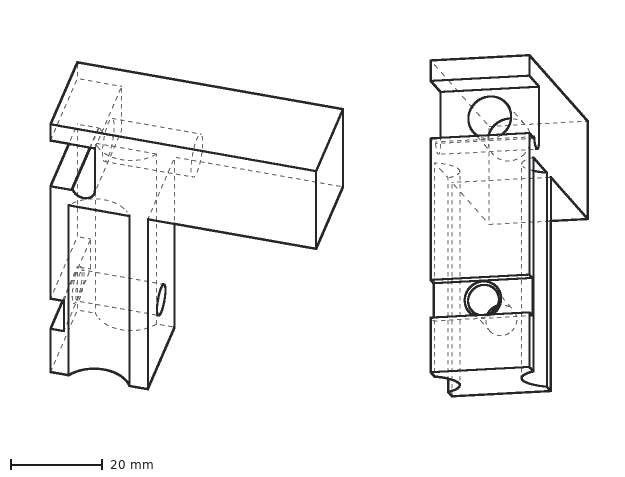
import cadquery as cq
import math

length = 60.0
height = 70.0
section = 22.0
bar_bottom = height - section

slot_depth = 10.0
slot_top = height - 4.6
ledge_z = height - 17.5
groove_radius = 2.5
groove_x = slot_depth - groove_radius
groove_z = height - 16.65
lip_start_x = 4.75
lip_rise = 0.4
lip_z = ledge_z + lip_rise
groove_angle_at_lip = math.asin((groove_z - lip_z) / groove_radius)
lip_x = groove_x - groove_radius * math.cos(groove_angle_at_lip)

bar_hole_diameter = 9.5
bar_hole_depth = 20.0
bar_hole_z = height - section / 2

notch_depth = 3.0
notch_bottom = 12.25
notch_height = 8.5
leg_hole_diameter = 6.85
leg_hole_chamfer = 0.6
leg_hole_z = notch_bottom + notch_height / 2

channel_width = 13.8
channel_depth = 3.9
channel_radius = (channel_width**2 / 4 + channel_depth**2) / (2 * channel_depth)
channel_offset = section / 2 + channel_radius - channel_depth


def make_body():
    """Extruded side outline, including the slot, groove and notch, centred on Y."""
    notch_top = notch_bottom + notch_height
    outline = (
        cq.Workplane("XZ")
        .moveTo(0, 0)
        .lineTo(section, 0)
        .lineTo(section, bar_bottom)
        .lineTo(length, bar_bottom)
        .lineTo(length, height)
        .lineTo(0, height)
        .lineTo(0, slot_top)
        .lineTo(slot_depth, slot_top)
        .lineTo(slot_depth, groove_z)
        .threePointArc((groove_x, groove_z - groove_radius), (lip_x, lip_z))
        .lineTo(lip_start_x, ledge_z)
        .lineTo(0, ledge_z)
        .lineTo(0, notch_top)
        .lineTo(notch_depth, notch_top)
        .lineTo(notch_depth, notch_bottom)
        .lineTo(0, notch_bottom)
        .close()
    )
    return outline.extrude(section / 2, both=True)


def make_channel(side):
    """Cutter for the leg channel on the side face given by the sign of Y."""
    centre = (section / 2, side * channel_offset)
    return cq.Workplane("XY").center(*centre).circle(channel_radius).extrude(bar_bottom)


def make_bar_hole():
    """Cutter for the blind hole running from the slot wall into the bar."""
    start = cq.Workplane("YZ", origin=(slot_depth, 0, bar_hole_z))
    return start.circle(bar_hole_diameter / 2).extrude(bar_hole_depth)


def make_leg_hole():
    """Cutter for the through hole in the leg and the chamfer at its notch end."""
    axis_start = (notch_depth, 0, leg_hole_z)
    hole_radius = leg_hole_diameter / 2
    bore = cq.Workplane("YZ", origin=axis_start).circle(hole_radius).extrude(section - notch_depth)
    cone = cq.Solid.makeCone(
        hole_radius + leg_hole_chamfer,
        hole_radius,
        leg_hole_chamfer,
        pnt=cq.Vector(*axis_start),
        dir=cq.Vector(1, 0, 0),
    )
    return bore.union(cq.Workplane(cone))


result = make_body()
for side in (-1, 1):
    result = result.cut(make_channel(side))
result = result.cut(make_bar_hole()).cut(make_leg_hole())